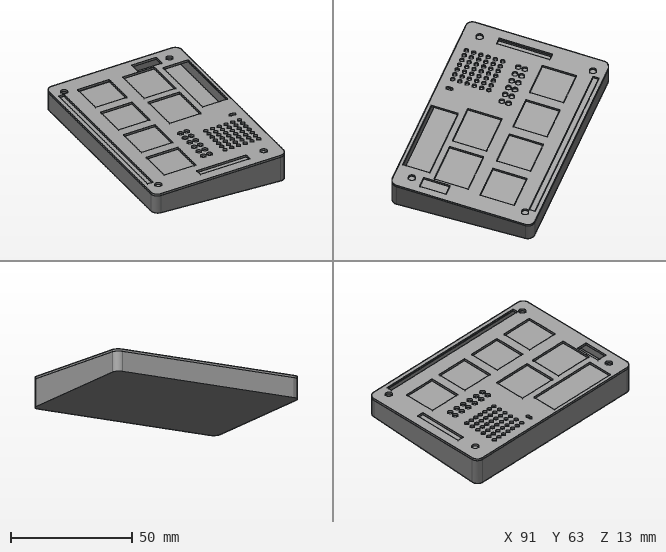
import cadquery as cq

length = 91.0
depth = 63.0
rear_height = 13.0
front_height = 9.5
corner_radius = 3.0

plate_thickness = 1.0
wall = 1.4
cavity_depth = 5.0

case_top = rear_height - plate_thickness
front_rise = rear_height - front_height

display_window = (-17.9, 24.0, 33.1, 11.9)
side_switch_window = (-40.1, 13.65, 4.9, 11.65)
front_slot = (-0.6, -28.4, 74.3, 2.55)
side_slot = (39.8, 4.5, 3.1, 23.5)

large_window_size = (18.0, 15.0)
large_window_row_center = (-17.2, 7.7)
large_window_pitch = 21.2
large_window_count = 2
pad_size = 15.0
pad_row_center = (-1.8, -13.0)
pad_pitch = 19.1
pad_count = 4

screw_hole_diameter = 3.0
screw_pattern_center = (-0.2, -1.0)
screw_spacing = (78.6, 50.05)
screws_per_side = 2

grille_hole_diameter = 1.8
grille_center = (22.5, 18.6)
grille_columns = 7
grille_rows = 6
grille_span = 16.0
grille_pitch = (grille_span / (grille_columns - 1), grille_span / (grille_rows - 1))

lamp_hole_diameter = 2.4
lamp_center = (20.5, 2.0)
lamp_columns = 6
lamp_rows = 2
lamp_span = (19.0, 2.9)
lamp_pitch = (lamp_span[0] / (lamp_columns - 1), lamp_span[1] / (lamp_rows - 1))

small_slot_center = (9.5, 26.0)
small_slot_length = 3.0
small_slot_width = 1.5


def rounded_block(size_x, size_y, height, radius, bottom):
    """Block with rounded vertical corners, standing on Z = bottom."""
    block = cq.Workplane("XY", origin=(0, 0, bottom)).rect(size_x, size_y).extrude(height)
    return block.edges("|Z").fillet(radius)


def at_plate_bottom(center):
    """Sketch plane on the plate underside, moved to a feature centre."""
    return cq.Workplane("XY", origin=(center[0], center[1], case_top))


def rectangular_opening(center_x, center_y, size_x, size_y):
    return at_plate_bottom((center_x, center_y)).rect(size_x, size_y).extrude(plate_thickness)


def opening_row(center, size_x, size_y, pitch, count):
    """Equal rectangular openings side by side along X."""
    row = at_plate_bottom(center).rarray(pitch, 0.9, count, 1)
    return row.rect(size_x, size_y).extrude(plate_thickness)


def hole_grid(center, pitch, columns, rows, diameter):
    """Round through holes on a rectangular grid."""
    grid = at_plate_bottom(center).rarray(pitch[0], pitch[1], columns, rows)
    return grid.circle(diameter / 2).extrude(plate_thickness)


def small_slot():
    outline = at_plate_bottom(small_slot_center).slot2D(small_slot_length, small_slot_width, 90)
    return outline.extrude(plate_thickness)


def make_case():
    """Wedge-bottomed tray with an open, flat-floored cavity."""
    body = rounded_block(length, depth, case_top, corner_radius, 0)
    underside_wedge = (
        cq.Workplane("YZ")
        .polyline([(depth / 2, 0), (-depth / 2, 0), (-depth / 2, front_rise)])
        .close()
        .extrude(length / 2, both=True)
    )
    cavity = rounded_block(
        length - 2 * wall,
        depth - 2 * wall,
        cavity_depth,
        corner_radius - wall,
        case_top - cavity_depth,
    )
    return body.cut(underside_wedge).cut(cavity)


def make_plate():
    """Flat cover plate with all its openings cut through."""
    plate = rounded_block(length, depth, plate_thickness, corner_radius, case_top)
    for opening in (display_window, side_switch_window, front_slot, side_slot):
        plate = plate.cut(rectangular_opening(*opening))
    plate = plate.cut(
        opening_row(large_window_row_center, *large_window_size, large_window_pitch, large_window_count)
    )
    plate = plate.cut(opening_row(pad_row_center, pad_size, pad_size, pad_pitch, pad_count))
    plate = plate.cut(
        hole_grid(
            screw_pattern_center, screw_spacing, screws_per_side, screws_per_side, screw_hole_diameter
        )
    )
    plate = plate.cut(
        hole_grid(grille_center, grille_pitch, grille_columns, grille_rows, grille_hole_diameter)
    )
    plate = plate.cut(hole_grid(lamp_center, lamp_pitch, lamp_columns, lamp_rows, lamp_hole_diameter))
    return plate.cut(small_slot())


case = make_case()
plate = make_plate()

result = cq.Compound.makeCompound([case.val(), plate.val()])